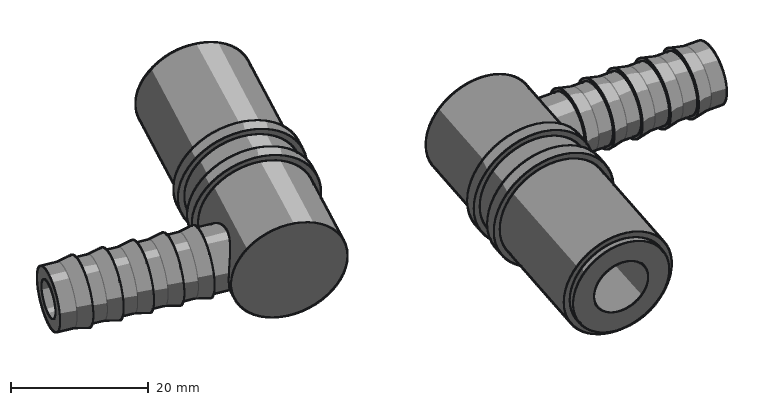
import cadquery as cq

body_length = 42.0
body_diameter = 18.0
nose_diameter = 16.0
nose_length = 1.0

ring_diameter = 20.0
ring_width = 2.0
ring_starts = (20.0, 25.9)

barb_axis_x = 36.0
overall_depth = 45.0
barb_reach = overall_depth - ring_diameter / 2
barb_root_diameter = 10.0
barb_crest_diameter = 11.0
barb_count = 5
barb_pitch = 4.7
barb_taper_length = barb_pitch / 2
first_crest_distance = 11.35

socket_diameter = 9.0
socket_depth = 20.0
passage_diameter = 6.0


def cylinder_along_x(diameter, start, length):
    return cq.Workplane("YZ", origin=(start, 0, 0)).circle(diameter / 2).extrude(length)


def make_barb_stem():
    """Revolved stem: each tooth has a square back and tapers down toward the tip."""
    root_radius = barb_root_diameter / 2
    crest_radius = barb_crest_diameter / 2
    profile = cq.Workplane("XY", origin=(barb_axis_x, 0, 0)).lineTo(root_radius, 0)
    for index in range(barb_count):
        crest_distance = first_crest_distance + index * barb_pitch
        profile = (
            profile.lineTo(root_radius, -crest_distance)
            .lineTo(crest_radius, -crest_distance)
            .lineTo(root_radius, -crest_distance - barb_taper_length)
        )
    profile = profile.lineTo(root_radius, -barb_reach).lineTo(0, -barb_reach).close()
    return profile.revolve(360, (0, 0, 0), (0, 1, 0))


def make_elbow_passage():
    """Two equal bores that meet in a 90 degree mitre where the axes cross."""
    radius = passage_diameter / 2
    outer_corner_x = barb_axis_x + radius
    bore_x = cylinder_along_x(passage_diameter, 0, outer_corner_x)
    bore_y = (
        cq.Workplane("XZ", origin=(barb_axis_x, radius, 0))
        .circle(radius)
        .extrude(barb_reach + radius)
    )
    mitre_side = (
        cq.Workplane("XY")
        .polyline([
            (0, radius),
            (outer_corner_x, radius),
            (outer_corner_x - barb_reach, radius - barb_reach),
            (0, radius - barb_reach),
        ])
        .close()
        .extrude(radius, both=True)
    )
    return bore_x.intersect(mitre_side).union(bore_y.cut(mitre_side))


def make_elbow():
    nose = cylinder_along_x(nose_diameter, 0, nose_length)
    barrel = cylinder_along_x(body_diameter, nose_length, body_length - nose_length)
    socket = cylinder_along_x(socket_diameter, 0, socket_depth)
    solid = nose.union(barrel).union(make_barb_stem())
    return solid.cut(socket).cut(make_elbow_passage())


def make_ring(start):
    ring = cylinder_along_x(ring_diameter, start, ring_width)
    return ring.cut(cylinder_along_x(body_diameter, start, ring_width))


elbow = make_elbow()
rings = [make_ring(start) for start in ring_starts]

result = cq.Compound.makeCompound([elbow.val(), *[ring.val() for ring in rings]])